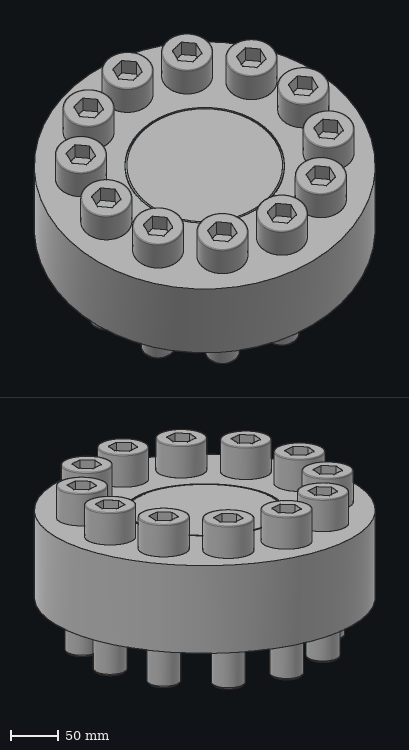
import cadquery as cq
import math

flange_diameter = 360.0
flange_thickness = 98.0
raised_face_diameter = 218.0
raised_face_height = 4.0

plug_diameter = 168.3
plug_bevel = 2.0

bolt_count = 12
bolt_circle_diameter = 264.0
shank_diameter = 36.0
shank_projection = 52.0
shank_chamfer = 2.5
head_diameter = 54.0
head_height = shank_diameter
head_rounding = 1.0
socket_across_flats = 27.0
socket_depth = 19.0


def make_flange():
    """Round block with a raised sealing face below and a bevelled plug flush with the top."""
    block = cq.Workplane("XY").circle(flange_diameter / 2).extrude(flange_thickness)
    raised_face = cq.Workplane("XY").circle(raised_face_diameter / 2).extrude(-raised_face_height)
    wall_radius = plug_diameter / 2
    groove = (
        cq.Workplane("XZ")
        .moveTo(wall_radius - plug_bevel, flange_thickness)
        .lineTo(wall_radius, flange_thickness)
        .lineTo(wall_radius, flange_thickness - plug_bevel)
        .close()
        .revolve(360, (0, 0, 0), (0, 1, 0))
    )
    return block.union(raised_face).cut(groove)


def bolt_positions():
    """Bolt centres, straddling the X and Y axes by half a pitch."""
    pitch = 2 * math.pi / bolt_count
    radius = bolt_circle_diameter / 2
    angles = [(index + 0.5) * pitch for index in range(bolt_count)]
    return [(radius * math.cos(angle), radius * math.sin(angle)) for angle in angles]


def make_head():
    """Rounded bolt head on the flange top, with two socket corners along Y."""
    head_top = flange_thickness + head_height
    across_corners = socket_across_flats / math.cos(math.pi / 6)
    socket = (
        cq.Workplane("XY", origin=(0, 0, head_top))
        .transformed(rotate=(0, 0, 90))
        .polygon(6, across_corners)
        .extrude(-socket_depth)
    )
    return (
        cq.Workplane("XY", origin=(0, 0, flange_thickness))
        .circle(head_diameter / 2)
        .extrude(head_height)
        .faces(">Z")
        .fillet(head_rounding)
        .cut(socket)
    )


def make_shank():
    """Bolt end below the flange, turned with a chamfered tip."""
    radius = shank_diameter / 2
    return (
        cq.Workplane("XZ")
        .moveTo(0, 0)
        .lineTo(radius, 0)
        .lineTo(radius, shank_chamfer - shank_projection)
        .lineTo(radius - shank_chamfer, -shank_projection)
        .lineTo(0, -shank_projection)
        .close()
        .revolve(360, (0, 0, 0), (0, 1, 0))
    )


result = make_flange()
head = make_head()
shank = make_shank()
for x, y in bolt_positions():
    result = result.union(head.translate((x, y, 0)))
    result = result.union(shank.translate((x, y, 0)))